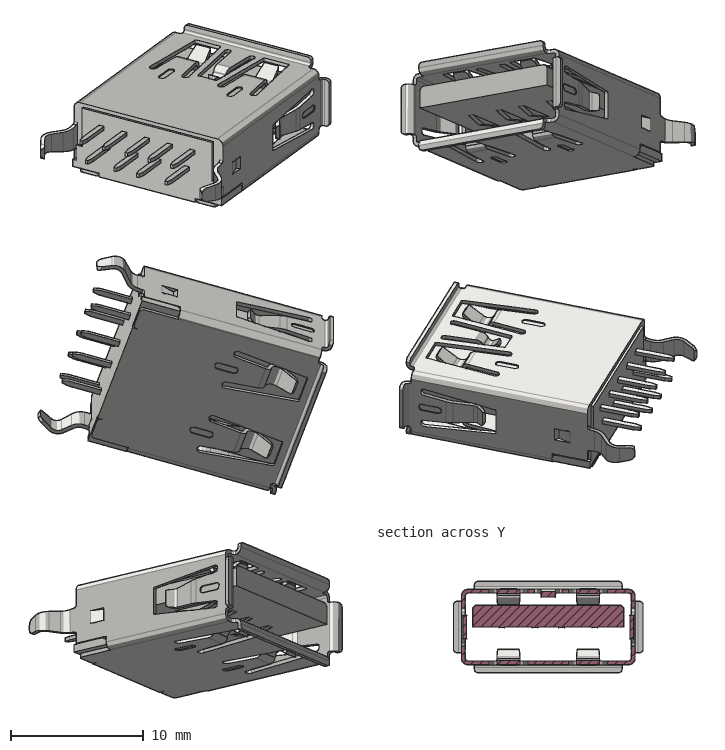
import cadquery as cq
import math


SHEET = 0.3
SHELL_WIDTH = 13.1
SHELL_HEIGHT = 5.7
SHELL_CORNER = 0.5
SHELL_REAR = 0.2
SHELL_FRONT = 14.27
MOUTH_FRONT = 15.0
HALF_WIDTH = SHELL_WIDTH / 2
HALF_HEIGHT = SHELL_HEIGHT / 2
INNER_HALF_WIDTH = HALF_WIDTH - SHEET
INNER_HALF_HEIGHT = HALF_HEIGHT - SHEET

CUT_REACH = 2.0

FLANGE_RISE = 0.61
FLANGE_BEND = 0.2
FLANGE_CORNER = 0.3
WIDE_FLANGE_HALF = 5.58
SIDE_FLANGE_HALF = 1.95
FLANGE_NECK_RADIUS = 0.2

SLOT_END_RADIUS = 0.24
WINDOW_CORNER = 0.1

SPRING_X = 3.0
SPRING_ROOT_Y = 8.0
SPRING_PROFILE = [(0, 0), (3.09, 0), (3.32, -1.32), (5.22, 0.06)]
SPRING_BENDS = [0.2, 0.58]
SPRING_WINDOW = dict(length=5.95, root_half=1.74, end_half=1.11, tip_radius=WINDOW_CORNER)
SPRING_TONGUE = dict(length=5.4, root_half=1.17, end_half=0.62, tip_radius=0.35)

LATCH_ROOT_Y = 13.77
LATCH_PROFILE = [(0, 0), (2.98, 0), (3.38, -0.69), (4.17, -0.14)]
LATCH_BENDS = [0.45, 0.33]
LATCH_WINDOW = dict(length=5.0, root_half=1.33, end_half=0.83, tip_radius=WINDOW_CORNER)
LATCH_TONGUE = dict(length=4.35, root_half=0.82, end_half=0.42, tip_radius=0.38)

SIDE_SPRING_ROOT_Y = 13.49
SIDE_SPRING_PROFILE = [(0, 0), (2.27, 0), (4.24, -0.5), (4.89, -0.05)]
SIDE_SPRING_BENDS = [1.8, 0.4]
SIDE_SPRING_WINDOW = dict(length=5.99, root_half=1.72, end_half=1.07, tip_radius=WINDOW_CORNER)
SIDE_SPRING_TONGUE = dict(length=5.05, root_half=1.16, end_half=0.65, tip_radius=0.4)

DIMPLE_LENGTH = 1.8
DIMPLE_WIDTH = 0.54
DIMPLE_DEPTH = 0.1
DIMPLE_Y = 7.84
SIDE_DIMPLE_Y = 12.76

LEG_PROFILE = [(0, 0), (0.97, 0), (2.33, 1.5), (4.0, 0.55)]
LEG_BENDS = [0.9, 0.62]
LEG_ROOT_HALF = 0.98
LEG_END_HALF = 0.53
LEG_TIP_RADIUS = 0.45
LEG_NECK_RADIUS = 0.15

BLOCK_DEPTH = 5.0
REAR_PAD_HALF = 5.72
REAR_PAD_STEP_Z = -0.67
BOARD_TONGUE_HALF = 5.7
BOARD_TONGUE_BOTTOM = 0.0
BOARD_TONGUE_TOP = 1.65
BOARD_TONGUE_CHAMFER = 0.22
BOARD_TONGUE_FRONT = 14.65
CONTACT_PROFILE = [(7.4, 0), (9.5, -0.4), (11.0, 0)]
SOLE_HALF = 4.23
FOOT_TOP = -1.95
FOOT_GAP = 0.06
FOOT_SPACE_CORNER = 0.1
FOOT_LENGTH = 3.03
FOOT_CORNER = 0.4
FLOOR_HALF = 6.0
FLOOR_CORNER = 0.3
FLOOR_REAR = 0.04

NOTCH_FRONT = 2.8
NOTCH_DEEPEST = 2.58
NOTCH_REAR = 1.58
NOTCH_HEIGHT = 1.0
NOTCH_Z = -0.08
NOTCH_DEPTH = 0.3

PIN_WIDTH = 0.43
PIN_THICKNESS = 0.3
PIN_TIP_WIDTH = 0.2
PIN_LENGTH = 3.03
PIN_TAPER = 0.5
PIN_EMBED = 1.0
UPPER_ROW_Z = 1.36
LOWER_ROW_Z = -0.15
UPPER_ROW_X = [-4, -2, 0, 2, 4]
LOWER_ROW_X = [-3.5, -1, 1, 3.5]


def box(x0, x1, y0, y1, z0, z1):
    return cq.Workplane("XY").box(x1 - x0, y1 - y0, z1 - z0, centered=False).translate((x0, y0, z0))


def place(shape, origin, along, outward):
    """Move a shape built along +X with +Z outward onto a wall of the shell."""
    frame = cq.Plane(origin=origin, xDir=along, normal=outward)
    return cq.Workplane(shape.val().moved(cq.Location(frame)))


def unit(start, end):
    length = math.dist(start, end)
    return ((end[0] - start[0]) / length, (end[1] - start[1]) / length)


def turn_angle(before, after):
    """Signed bend between two unit directions, positive when bending outward."""
    cross = before[0] * after[1] - before[1] * after[0]
    dot = before[0] * after[0] + before[1] * after[1]
    return math.atan2(cross, dot)


def inner_surface(points):
    """Offset an outer-surface path inward by the sheet thickness, with mitred corners."""
    directions = [unit(a, b) for a, b in zip(points, points[1:])]
    before = [directions[0]] + directions
    after = directions + [directions[-1]]
    offset = []
    for (x, z), d0, d1 in zip(points, before, after):
        scale = SHEET / (1 + d0[0] * d1[0] + d0[1] * d1[1])
        offset.append((x + scale * (d0[1] + d1[1]), z - scale * (d0[0] + d1[0])))
    return offset


def trace(path, points, radii):
    """Continue a path from points[0] through the points, rounding each middle corner."""
    for before, corner, after, radius in zip(points, points[1:], points[2:], radii):
        d0 = unit(before, corner)
        d1 = unit(corner, after)
        half_turn = abs(turn_angle(d0, d1)) / 2
        tangent = radius * math.tan(half_turn)
        bisector = unit((0, 0), (d1[0] - d0[0], d1[1] - d0[1]))
        sagitta = radius / math.cos(half_turn) - radius
        arc_start = (corner[0] - tangent * d0[0], corner[1] - tangent * d0[1])
        arc_mid = (corner[0] + sagitta * bisector[0], corner[1] + sagitta * bisector[1])
        arc_end = (corner[0] + tangent * d1[0], corner[1] + tangent * d1[1])
        path = path.lineTo(*arc_start).threePointArc(arc_mid, arc_end)
    return path.lineTo(*points[-1])


def bent_strip(points, bend_radii, half_width):
    """Sheet strip following an outer-surface path; bend_radii are the inside radii."""
    outer_radii = []
    inner_radii = []
    for before, corner, after, radius in zip(points, points[1:], points[2:], bend_radii):
        bends_outward = turn_angle(unit(before, corner), unit(corner, after)) > 0
        outer_radii.append(radius if bends_outward else radius + SHEET)
        inner_radii.append(radius + SHEET if bends_outward else radius)
    inner = inner_surface(points)[::-1]
    path = trace(cq.Workplane("XZ").moveTo(*points[0]), points, outer_radii)
    path = trace(path.lineTo(*inner[0]), inner, inner_radii[::-1])
    return path.close().extrude(half_width, both=True)


def tapered_prism(length, root_half, end_half, tip_radius=0):
    """Tall trapezoid prism along +X, used as a plan outline for wall features."""
    outline = [(0, -root_half), (length, -end_half), (length, end_half), (0, root_half)]
    prism = cq.Workplane("XY").workplane(offset=-CUT_REACH).polyline(outline).close().extrude(2 * CUT_REACH)
    if tip_radius:
        prism = prism.edges("|Z and >X").fillet(tip_radius)
    return prism


def neck_flare(half_width, radius):
    """Sheet root whose sides sweep out to the wall edge with concave arcs."""
    mid = radius * (1 - math.sqrt(0.5))
    return (
        cq.Workplane("XY")
        .workplane(offset=-SHEET)
        .moveTo(0, -half_width - radius)
        .threePointArc((mid, -half_width - mid), (radius, -half_width))
        .lineTo(radius, half_width)
        .threePointArc((mid, half_width + mid), (0, half_width + radius))
        .close()
        .extrude(SHEET)
    )


def spring_parts(profile, bends, window, tongue):
    """Return the wall opening and the bent tongue that hangs in it."""
    tongue_plan = tapered_prism(**tongue)
    slots = tapered_prism(**window).cut(tongue_plan)
    slots = slots.edges("|Z and <X").fillet(SLOT_END_RADIUS)
    strip = bent_strip(profile, bends, tongue["root_half"])
    return slots.union(tongue_plan), strip.intersect(tongue_plan)


def flange(half_width):
    face = MOUTH_FRONT - SHELL_FRONT - SHEET
    strip = bent_strip([(0, 0), (face, 0), (face, FLANGE_RISE)], [FLANGE_BEND], half_width)
    strip = strip.faces(">Z").edges("|X").fillet(FLANGE_CORNER)
    return strip.union(neck_flare(half_width, FLANGE_NECK_RADIUS))


def board_lock_leg():
    length = LEG_PROFILE[-1][0]
    plan = tapered_prism(length, LEG_ROOT_HALF, LEG_END_HALF, LEG_TIP_RADIUS)
    strip = bent_strip(LEG_PROFILE, LEG_BENDS, LEG_ROOT_HALF)
    return strip.intersect(plan).union(neck_flare(LEG_ROOT_HALF, LEG_NECK_RADIUS))


def dimple():
    return cq.Workplane("XY").slot2D(DIMPLE_LENGTH, DIMPLE_WIDTH).extrude(-DIMPLE_DEPTH)


def shell_tube():
    outer = box(-HALF_WIDTH, HALF_WIDTH, SHELL_REAR, SHELL_FRONT, -HALF_HEIGHT, HALF_HEIGHT)
    inner = box(
        -INNER_HALF_WIDTH, INNER_HALF_WIDTH, SHELL_REAR, SHELL_FRONT, -INNER_HALF_HEIGHT, INNER_HALF_HEIGHT
    )
    outer = outer.edges("|Y").fillet(SHELL_CORNER)
    inner = inner.edges("|Y").fillet(SHELL_CORNER - SHEET)
    return outer.cut(inner)


def foot_space(side):
    """Rear lower corner of the shell, cut away for an insulator foot."""
    x0, x1 = sorted((side * SOLE_HALF, side * HALF_WIDTH))
    space = box(x0, x1, 0, FOOT_LENGTH, -HALF_HEIGHT, FOOT_TOP + FOOT_GAP)
    return space.edges("|X and >Y and >Z").fillet(FOOT_SPACE_CORNER)


def insulator_foot(side):
    x0, x1 = sorted((side * SOLE_HALF, side * HALF_WIDTH))
    foot = box(x0, x1, 0, FOOT_LENGTH, -INNER_HALF_HEIGHT, FOOT_TOP)
    return foot.edges("|X and >Y and >Z").fillet(FOOT_CORNER)


def floor_tab(side):
    """Flat piece of the shell floor below an insulator foot."""
    x0, x1 = sorted((side * SOLE_HALF, side * FLOOR_HALF))
    tab = box(x0, x1, FLOOR_REAR, FOOT_LENGTH, -HALF_HEIGHT, -INNER_HALF_HEIGHT)
    return tab.edges("|Z and <Y").fillet(FLOOR_CORNER)


def build_shell():
    shell = shell_tube()
    contact_spring = spring_parts(SPRING_PROFILE, SPRING_BENDS, SPRING_WINDOW, SPRING_TONGUE)
    latch = spring_parts(LATCH_PROFILE, LATCH_BENDS, LATCH_WINDOW, LATCH_TONGUE)
    side_spring = spring_parts(
        SIDE_SPRING_PROFILE, SIDE_SPRING_BENDS, SIDE_SPRING_WINDOW, SIDE_SPRING_TONGUE
    )
    forward = (0, 1, 0)
    rearward = (0, -1, 0)

    mounts = [(latch, (0, LATCH_ROOT_Y, HALF_HEIGHT), rearward, (0, 0, 1))]
    dimples = []
    tabs = []
    for side in (-1, 1):
        vertical = (0, 0, side)
        lateral = (side, 0, 0)
        for x in (-SPRING_X, SPRING_X):
            mounts.append((contact_spring, (x, SPRING_ROOT_Y, side * HALF_HEIGHT), forward, vertical))
            dimples.append(place(dimple(), (x, DIMPLE_Y, side * HALF_HEIGHT), forward, vertical))
        mounts.append((side_spring, (side * HALF_WIDTH, SIDE_SPRING_ROOT_Y, 0), rearward, lateral))
        dimples.append(place(dimple(), (side * HALF_WIDTH, SIDE_DIMPLE_Y, 0), forward, lateral))
        tabs.append(
            place(flange(WIDE_FLANGE_HALF), (0, SHELL_FRONT, side * HALF_HEIGHT), forward, vertical)
        )
        tabs.append(
            place(flange(SIDE_FLANGE_HALF), (side * HALF_WIDTH, SHELL_FRONT, 0), forward, lateral)
        )
        tabs.append(place(board_lock_leg(), (side * HALF_WIDTH, SHELL_REAR, 0), rearward, lateral))
        shell = shell.cut(foot_space(side))
        tabs.append(floor_tab(side))

    for (opening, _), origin, along, outward in mounts:
        shell = shell.cut(place(opening, origin, along, outward))
    for (_, tongue), origin, along, outward in mounts:
        tabs.append(place(tongue, origin, along, outward))
    for recess in dimples:
        shell = shell.cut(recess)
        tabs = [tab.cut(recess) for tab in tabs]
    for tab in tabs:
        shell = shell.union(tab)
    return shell


def build_insulator():
    body = box(
        -INNER_HALF_WIDTH, INNER_HALF_WIDTH, SHELL_REAR, BLOCK_DEPTH, -INNER_HALF_HEIGHT, INNER_HALF_HEIGHT
    ).edges("|Y").fillet(SHELL_CORNER - SHEET)
    upper_pad = box(
        -REAR_PAD_HALF, REAR_PAD_HALF, 0, SHELL_REAR, REAR_PAD_STEP_Z, INNER_HALF_HEIGHT
    )
    lower_pad = box(
        -INNER_HALF_WIDTH, INNER_HALF_WIDTH, 0, SHELL_REAR, -INNER_HALF_HEIGHT, REAR_PAD_STEP_Z
    )
    sole = box(-SOLE_HALF, SOLE_HALF, 0, FOOT_LENGTH, -HALF_HEIGHT, -INNER_HALF_HEIGHT)
    board_tongue = box(
        -BOARD_TONGUE_HALF, BOARD_TONGUE_HALF, BLOCK_DEPTH, BOARD_TONGUE_FRONT,
        BOARD_TONGUE_BOTTOM, BOARD_TONGUE_TOP,
    ).edges("|Y and >Z").chamfer(BOARD_TONGUE_CHAMFER)
    body = body.union(upper_pad).union(lower_pad).union(sole).union(board_tongue)
    for side in (-1, 1):
        body = body.union(insulator_foot(side))
    return body


def pin(x, z):
    half = PIN_WIDTH / 2
    tip_half = PIN_TIP_WIDTH / 2
    shoulder = PIN_TAPER - PIN_LENGTH
    outline = [
        (-half, PIN_EMBED), (-half, shoulder), (-tip_half, -PIN_LENGTH),
        (tip_half, -PIN_LENGTH), (half, shoulder), (half, PIN_EMBED),
    ]
    blade = cq.Workplane("XY").polyline(outline).close().extrude(PIN_THICKNESS / 2, both=True)
    return blade.translate((x, 0, z))


def contact_beam(x):
    """Part of a lower-row contact that bulges below the board tongue."""
    bulge = cq.Workplane("YZ").polyline(CONTACT_PROFILE).close().extrude(PIN_WIDTH / 2, both=True)
    return bulge.translate((x, 0, BOARD_TONGUE_BOTTOM))


def retention_notch(side):
    surface = side * HALF_WIDTH
    bottom = side * (HALF_WIDTH - NOTCH_DEPTH)
    outline = [(surface, NOTCH_FRONT), (bottom, NOTCH_DEEPEST), (surface, NOTCH_REAR)]
    wedge = cq.Workplane("XY").polyline(outline).close().extrude(NOTCH_HEIGHT / 2, both=True)
    return wedge.translate((0, 0, NOTCH_Z))


result = build_shell().union(build_insulator())
for pin_x in UPPER_ROW_X:
    result = result.union(pin(pin_x, UPPER_ROW_Z))
for pin_x in LOWER_ROW_X:
    result = result.union(pin(pin_x, LOWER_ROW_Z))
    result = result.union(contact_beam(pin_x))
for side in (-1, 1):
    result = result.cut(retention_notch(side))